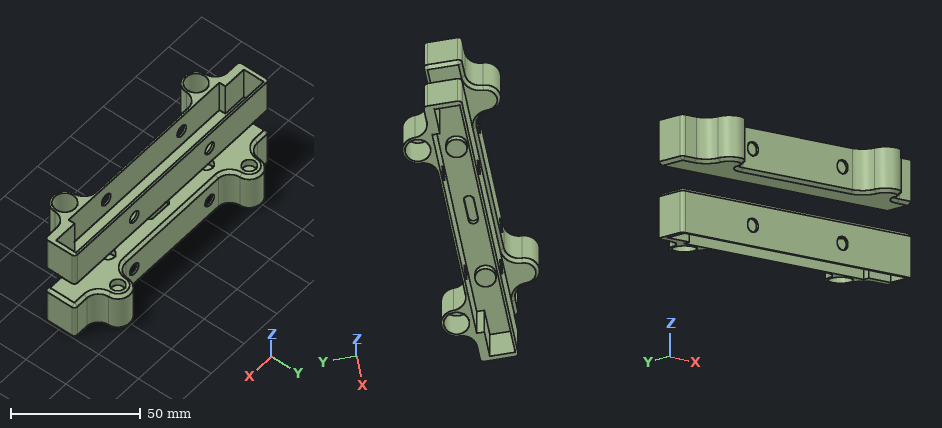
import cadquery as cq
import math

length = 118.4
tray_depth = 15.0
tray_height = 18.0
total_width = 38.6
total_height = 47.0

long_wall = 1.01
end_wall = 2.0
floor_thickness = 2.0
corner_radius = 1.5
edge_chamfer = 1.4
corner_block_length = 13.3
corner_block_depth = 4.0

boss_x = 40.0
bore_diameter = 10.0
boss_radius = bore_diameter / 2 + long_wall
blend_radius = boss_radius

cross_hole_diameter = 5.5
cross_hole_x = 23.0
cross_hole_from_rim = 8.3

recess_diameter = 6.2
recess_depth = 3.5
recess_x = 30.0
recess_wall = 1.01
slot_length = 12.8
slot_width = 3.8

half_length = length / 2
half_depth = tray_depth / 2
boss_y = -(total_width / 2 - boss_radius)
bore_depth = tray_height - recess_depth - recess_wall
boss_points = [(-boss_x, boss_y), (boss_x, boss_y)]
recess_points = [(-recess_x, 0), (recess_x, 0)]


def boss_outline(x_center):
    """Closed outline of one boss with the two concave blends at its root."""
    blend_y = -half_depth - blend_radius
    center_distance = boss_radius + blend_radius
    blend_dx = math.sqrt(center_distance**2 - (boss_y - blend_y) ** 2)
    share = boss_radius / center_distance
    touch_dx = blend_dx * share
    touch_y = boss_y + (blend_y - boss_y) * share
    wall_angle = math.pi / 2
    touch_angle = math.atan2(touch_y - blend_y, blend_dx - touch_dx)
    middle_angle = (wall_angle + touch_angle) / 2
    middle_dx = blend_dx - blend_radius * math.cos(middle_angle)
    middle_y = blend_y + blend_radius * math.sin(middle_angle)
    return (
        cq.Workplane("XY")
        .moveTo(x_center - blend_dx, -half_depth)
        .threePointArc((x_center - middle_dx, middle_y), (x_center - touch_dx, touch_y))
        .threePointArc((x_center, boss_y - boss_radius), (x_center + touch_dx, touch_y))
        .threePointArc((x_center + middle_dx, middle_y), (x_center + blend_dx, -half_depth))
        .lineTo(x_center + blend_dx, 0)
        .lineTo(x_center - blend_dx, 0)
        .close()
    )


def tray_block():
    """Solid block with rounded corners and bosses, chamfered around its closed face."""
    block = (
        cq.Workplane("XY")
        .box(length, tray_depth, tray_height, centered=(True, True, False))
        .edges("|Z")
        .fillet(corner_radius)
    )
    for x_center, _ in boss_points:
        block = block.union(boss_outline(x_center).extrude(tray_height))
    return block.faces("<Z").chamfer(edge_chamfer)


def pocket():
    """Open cavity, narrower at both ends where the corner blocks stand."""
    pocket_height = tray_height - floor_thickness
    back_y = half_depth - long_wall
    block_y = -half_depth + corner_block_depth
    front_y = -half_depth + long_wall
    inner_x = half_length - end_wall
    block_x = half_length - corner_block_length
    return (
        cq.Workplane("XY", origin=(0, 0, floor_thickness))
        .polyline([
            (-inner_x, back_y),
            (inner_x, back_y),
            (inner_x, block_y),
            (block_x, block_y),
            (block_x, front_y),
            (-block_x, front_y),
            (-block_x, block_y),
            (-inner_x, block_y),
        ])
        .close()
        .extrude(pocket_height)
    )


def boss_bores():
    """Blind bores that open at the rim."""
    return (
        cq.Workplane("XY", origin=(0, 0, tray_height))
        .pushPoints(boss_points)
        .circle(bore_diameter / 2)
        .extrude(-bore_depth)
    )


def cross_holes():
    """Round holes along Y through both long walls."""
    hole_z = tray_height - cross_hole_from_rim
    return (
        cq.Workplane("XZ")
        .pushPoints([(-cross_hole_x, hole_z), (cross_hole_x, hole_z)])
        .circle(cross_hole_diameter / 2)
        .extrude(half_depth, both=True)
    )


def tray():
    """The shape that both trays share."""
    return tray_block().cut(pocket()).cut(boss_bores()).cut(cross_holes())


def make_upper_tray():
    """Tray that opens upward, with its bosses toward -Y."""
    return tray().translate((0, 0, total_height / 2 - tray_height))


def make_lower_tray():
    """Tray turned over to open downward, with a slot and round recesses in its closed face."""
    recess_cups = (
        cq.Workplane("XY")
        .pushPoints(recess_points)
        .circle(recess_diameter / 2 + recess_wall)
        .extrude(recess_depth + recess_wall)
    )
    recesses = (
        cq.Workplane("XY")
        .pushPoints(recess_points + boss_points)
        .circle(recess_diameter / 2)
        .extrude(recess_depth)
    )
    slot = cq.Workplane("XY").slot2D(slot_length, slot_width).extrude(floor_thickness)
    body = tray().union(recess_cups).cut(recesses).cut(slot)
    turned = body.rotate((0, 0, 0), (1, 0, 0), 180)
    return turned.translate((0, 0, tray_height - total_height / 2))


upper_tray = make_upper_tray()
lower_tray = make_lower_tray()

result = cq.Compound.makeCompound([upper_tray.val(), lower_tray.val()])